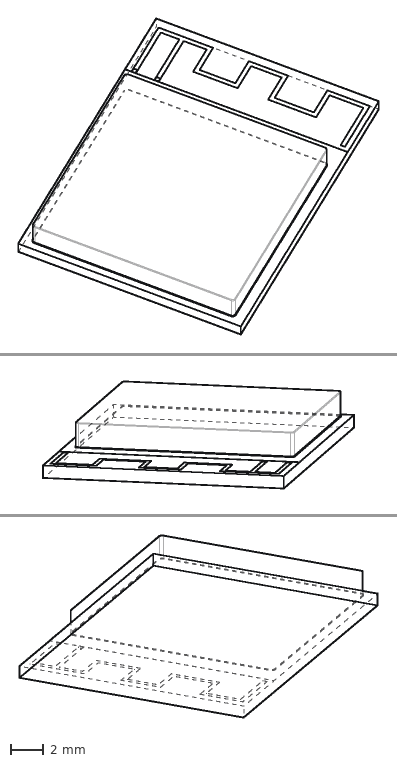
import cadquery as cq

board_width = 15.4
board_length = 20.0
board_thickness = 0.8
board_left = -board_width / 2
board_front = -board_length / 2
board_back = board_length / 2

copper_thickness = 0.01
copper_top = board_thickness + copper_thickness
antenna_zone_length = 4.52
ground_length = board_length - antenna_zone_length
ground_back = board_back - antenna_zone_length

trace_width = 0.3
trace_thickness = copper_thickness / 2
via_diameter = 0.29
feed_leg_insets = (0.6, 2.18)
meander_leg_insets = (4.07, 6.85, 9.26, 12.27)
open_leg_inset = 0.49
trace_high_inset = 0.75
meander_depth = 1.96
feed_leg_x = [board_left + inset for inset in feed_leg_insets]
meander_leg_x = [board_left + inset for inset in meander_leg_insets]
open_leg_x = board_width / 2 - open_leg_inset
trace_high_y = board_back - trace_high_inset
trace_low_y = trace_high_y - meander_depth
open_end_y = ground_back + trace_width

can_width = 13.98
can_length = 13.56
can_front_margin = 0.5
can_center_y = board_front + can_front_margin + can_length / 2
can_top = 2.41
can_corner_radius = 0.2
can_top_fillet = 0.05
foot_overhang = 0.03
foot_height = 0.05


def copper_strip(start, end):
    """Straight piece of trace whose square ends reach half a width past both centre points."""
    (start_x, start_y), (end_x, end_y) = start, end
    size_x = abs(end_x - start_x) + trace_width
    size_y = abs(end_y - start_y) + trace_width
    return (
        cq.Workplane("XY", origin=(0, 0, board_thickness))
        .center((start_x + end_x) / 2, (start_y + end_y) / 2)
        .rect(size_x, size_y)
        .extrude(trace_thickness)
    )


def make_board():
    """Plain board with the ground copper over everything in front of the antenna zone."""
    board = cq.Workplane("XY").box(board_width, board_length, board_thickness, centered=(True, True, False))
    ground = (
        cq.Workplane("XY", origin=(0, board_front + ground_length / 2, board_thickness))
        .rect(board_width, ground_length)
        .extrude(copper_thickness)
    )
    return board.union(ground)


def antenna_path():
    """Centre points of the meandering trace, from the first feed leg to the open end."""
    end_inset = trace_width / 2
    path = [(feed_leg_x[0], ground_back + end_inset), (feed_leg_x[0], trace_high_y)]
    level, next_level = trace_high_y, trace_low_y
    for leg_x in meander_leg_x:
        path += [(leg_x, level), (leg_x, next_level)]
        level, next_level = next_level, level
    path += [(open_leg_x, level), (open_leg_x, open_end_y + end_inset)]
    return path


def add_antenna(body):
    """Add the meandering trace and its second feed leg, with a shallow via hole at each feed end."""
    path = antenna_path()
    for start, end in zip(path, path[1:]):
        body = body.union(copper_strip(start, end))
    via_y = ground_back + trace_width / 2
    body = body.union(copper_strip((feed_leg_x[1], via_y), (feed_leg_x[1], trace_high_y)))
    via_holes = (
        cq.Workplane("XY", origin=(0, 0, board_thickness))
        .pushPoints([(leg_x, via_y) for leg_x in feed_leg_x])
        .circle(via_diameter / 2)
        .extrude(trace_thickness)
    )
    return body.cut(via_holes)


def rounded_block(width, length, corner_radius, height):
    """Block with rounded upright edges, standing on the copper under the shield can."""
    return (
        cq.Workplane("XY", origin=(0, can_center_y, copper_top))
        .rect(width, length)
        .extrude(height)
        .edges("|Z")
        .fillet(corner_radius)
    )


def make_shield_can():
    """Shield can with a softened top edge, standing on its low foot."""
    can = rounded_block(can_width, can_length, can_corner_radius, can_top - copper_top)
    can = can.faces(">Z").edges().fillet(can_top_fillet)
    foot = rounded_block(
        can_width + 2 * foot_overhang,
        can_length + 2 * foot_overhang,
        can_corner_radius + foot_overhang,
        foot_height,
    )
    return can.union(foot)


result = add_antenna(make_board()).union(make_shield_can())